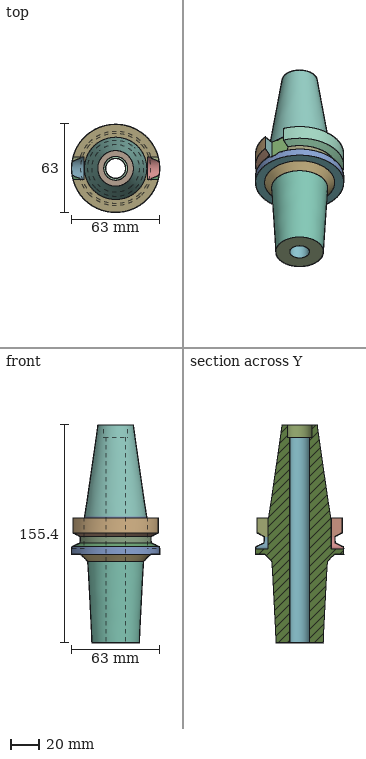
import cadquery as cq


GAUGE_DIAMETER = 44.45
TAPER_RATE = 7 / 24
TAPER_LENGTH = 65.4

FLANGE_DIAMETER = 63.0
FLANGE_TOP = -1.0
FLANGE_BOTTOM = -27.0
UPPER_RIM_BOTTOM = -11.6
LOWER_RIM_TOP = -21.5
GROOVE_DIAMETER = 53.0
GROOVE_FLANK_HEIGHT = 2.75

COLLAR_DIAMETER = 50.0
COLLAR_HEIGHT = 5.0
NOSE_TOP_DIAMETER = 40.0
NOSE_TIP_DIAMETER = 34.0
NOSE_BOTTOM = -90.0

BORE_DIAMETER = 14.0
COUNTERBORE_DIAMETER = 17.0
COUNTERBORE_DEPTH = 9.0

SLOT_WIDTH = 16.1
SLOT_FLOOR_OFFSET = 22.6
SLOT_BOTTOM = -22.9


def make_body():
    """Revolve the outer profile around the Z axis."""
    gauge_radius = GAUGE_DIAMETER / 2
    taper_tip_radius = (GAUGE_DIAMETER - TAPER_RATE * TAPER_LENGTH) / 2
    flange_radius = FLANGE_DIAMETER / 2
    groove_radius = GROOVE_DIAMETER / 2
    profile = [
        (0, TAPER_LENGTH),
        (taper_tip_radius, TAPER_LENGTH),
        (gauge_radius, 0),
        (gauge_radius, FLANGE_TOP),
        (flange_radius, FLANGE_TOP),
        (flange_radius, UPPER_RIM_BOTTOM),
        (groove_radius, UPPER_RIM_BOTTOM - GROOVE_FLANK_HEIGHT),
        (groove_radius, LOWER_RIM_TOP + GROOVE_FLANK_HEIGHT),
        (flange_radius, LOWER_RIM_TOP),
        (flange_radius, FLANGE_BOTTOM),
        (COLLAR_DIAMETER / 2, FLANGE_BOTTOM),
        (NOSE_TOP_DIAMETER / 2, FLANGE_BOTTOM - COLLAR_HEIGHT),
        (NOSE_TIP_DIAMETER / 2, NOSE_BOTTOM),
        (0, NOSE_BOTTOM),
    ]
    return cq.Workplane("YZ").polyline(profile).close().revolve(360, (0, 0), (0, 1))


def make_bore():
    """Through bore with a counterbore at the small end of the taper."""
    through = (
        cq.Workplane("XY", origin=(0, 0, NOSE_BOTTOM))
        .circle(BORE_DIAMETER / 2)
        .extrude(TAPER_LENGTH - NOSE_BOTTOM)
    )
    counterbore = (
        cq.Workplane("XY", origin=(0, 0, TAPER_LENGTH))
        .circle(COUNTERBORE_DIAMETER / 2)
        .extrude(-COUNTERBORE_DEPTH)
    )
    return through.union(counterbore)


def make_drive_slot(side):
    """Slot open at the flange top with a round lower end; side is +1 or -1 along X."""
    half_width = SLOT_WIDTH / 2
    return (
        cq.Workplane("YZ", origin=(side * SLOT_FLOOR_OFFSET, 0, 0))
        .moveTo(-half_width, FLANGE_TOP)
        .lineTo(-half_width, SLOT_BOTTOM + half_width)
        .threePointArc((0, SLOT_BOTTOM), (half_width, SLOT_BOTTOM + half_width))
        .lineTo(half_width, FLANGE_TOP)
        .close()
        .extrude(side * FLANGE_DIAMETER / 2)
    )


result = make_body().cut(make_bore())
for slot_side in (1, -1):
    result = result.cut(make_drive_slot(slot_side))